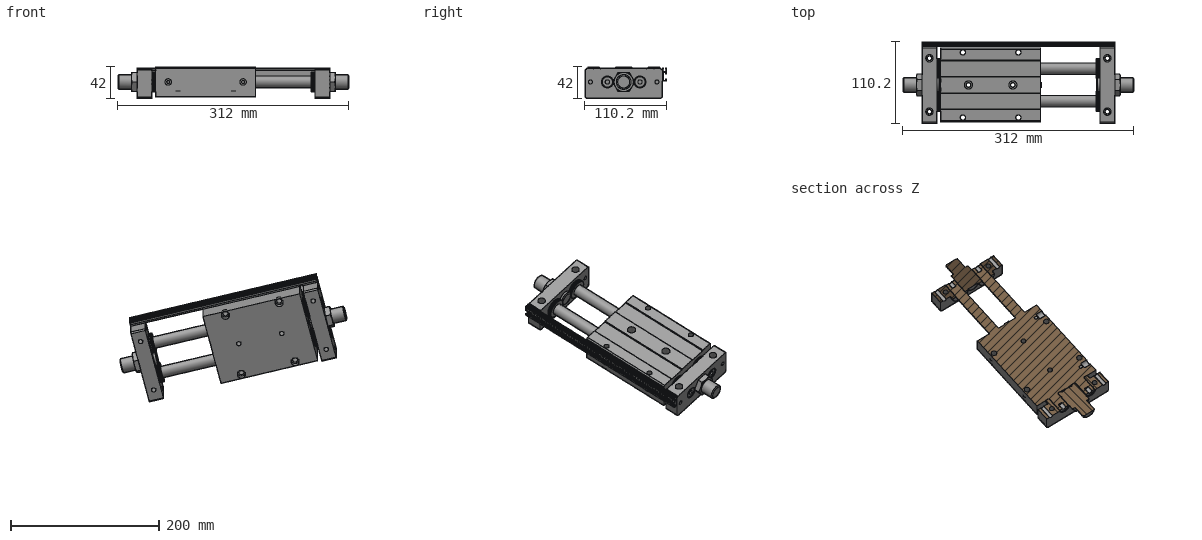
import cadquery as cq
import math

TOTAL_LENGTH = 312.0
AXIS_Z = 22.0
ROD_SPACING = 44.0
ROD_DIAMETER = 16.0
ROD_DISH_DEPTH = 1.0
ROD_DISH_FLOOR_DIAMETER = 14.0
EDGE_CHAMFER = 2.0

PLATE_SPAN = 260.2
PLATE_THICKNESS = 20.0
PLATE_WIDTH = 104.2
PLATE_HEIGHT = 40.2
PLATE_HOLE_SPACING = 72.0
PLATE_HOLE_DIAMETER = 6.0
PLATE_BORE_DIAMETER = 10.0
PLATE_BORE_DEPTH = 15.0
SIDE_HOLE_SPACING = 90.0
SIDE_HOLE_DIAMETER = 5.3

BUMPER_DIAMETER = 27.0
BUMPER_RING_THICKNESSES = (2.8, 2.5)
BUMPER_CHAMFER = 0.5
BUMPER_LENGTH = sum(BUMPER_RING_THICKNESSES)

BOLT_DIAMETER = 20.0
BOLT_CHAMFER_LENGTH = 1.2
BOLT_CHAMFER_INSET = 2.0
NUT_SIDES = 6
NUT_ACROSS_FLATS = 26.0
NUT_THICKNESS = 7.5
NUT_ACROSS_CORNERS = NUT_ACROSS_FLATS / math.cos(math.pi / NUT_SIDES)
NUT_CHAMFER_LENGTH = 1.0
NUT_CHAMFER_INSET = (NUT_ACROSS_CORNERS - NUT_ACROSS_FLATS) / 2
STUD_DIAMETER = 7.0
STUD_LENGTH = 1.0
BOLT_TIP_LENGTH = BUMPER_LENGTH - STUD_LENGTH

HOUSING_LENGTH = 134.8
HOUSING_WIDTH = 99.8
HOUSING_BOTTOM = 2.0
HOUSING_TOP = 42.0
CHANNEL_DEPTH = 1.0
CHANNEL_MOUTH_WIDTH = 22.8
CHANNEL_FLOOR_WIDTH = CHANNEL_MOUTH_WIDTH - 2 * CHANNEL_DEPTH
CHANNEL_SPACING = 44.0
CORNER_HOLE_DIAMETER = 7.0
CORNER_BORE_DIAMETER = 11.0
CORNER_BORE_DEPTH = 7.8
CORNER_HOLE_SPACING_X = 75.0
CORNER_HOLE_SPACING_Y = 88.0
MIDDLE_HOLE_SPACING = 60.0
MIDDLE_HOLE_DIAMETER = 6.0
MIDDLE_BORE_DIAMETER = 11.0
MIDDLE_BORE_DEPTH = 15.0
PORT_SPACING = 101.0
PORT_DIAMETER = 8.7
PORT_DEPTH = 10.0
PORT_PASSAGE_DIAMETER = 4.0
PORT_PASSAGE_DEPTH = 15.0
ROD_SOCKET_DIAMETER = 6.0
ROD_SOCKET_DEPTH = 10.0

RAIL_DEPTH = 6.0
RAIL_HEIGHT = 17.8
RAIL_TOP = HOUSING_TOP - CHANNEL_DEPTH
RAIL_WEB = 2.0
RAIL_WALL = 1.0
RAIL_BACK_WALL = 0.5
LIP_WIDTH = 1.5
LOWER_LIP_HEIGHT = 2.8
GROOVE_LIP_HEIGHT = 1.2
GROOVE_WALL_DEPTH = 3.7
GROOVE_DEPTH = 5.5
SLOT_CEILING = 6.5
UPPER_LIP_HEIGHT = 2.0

PLATE_OUTER_X = PLATE_SPAN / 2
PLATE_INNER_X = PLATE_OUTER_X - PLATE_THICKNESS
HOUSING_LEFT = BUMPER_LENGTH - PLATE_INNER_X
HOUSING_MIDDLE = HOUSING_LEFT + HOUSING_LENGTH / 2
ROD_OFFSETS = (-ROD_SPACING / 2, ROD_SPACING / 2)


def cylinder_x(diameter, x_start, x_end, y=0.0):
    """Cylinder along X at the rod height."""
    return (
        cq.Workplane("YZ", origin=(x_start, y, AXIS_Z))
        .circle(diameter / 2)
        .extrude(x_end - x_start)
    )


def bolt_and_nut():
    """Stop bolt with its lock nut, for the +X plate."""
    bolt = cylinder_x(BOLT_DIAMETER, PLATE_INNER_X - BOLT_TIP_LENGTH, TOTAL_LENGTH / 2)
    bolt = bolt.faces("<X or >X").chamfer(BOLT_CHAMFER_LENGTH, BOLT_CHAMFER_INSET)
    nut_end = PLATE_OUTER_X + NUT_THICKNESS
    nut = (
        cq.Workplane("YZ", origin=(PLATE_OUTER_X, 0, AXIS_Z))
        .polygon(NUT_SIDES, NUT_ACROSS_FLATS, circumscribed=True)
        .extrude(NUT_THICKNESS)
        .rotate((0, 0, AXIS_Z), (1, 0, AXIS_Z), 180 / NUT_SIDES)
    )
    rounding = cylinder_x(NUT_ACROSS_CORNERS, PLATE_OUTER_X, nut_end)
    rounding = rounding.faces(">X").chamfer(NUT_CHAMFER_LENGTH, NUT_CHAMFER_INSET)
    return bolt.union(nut.intersect(rounding))


def bumper(y):
    """Two chamfered rings on the inner face of the +X plate."""
    rings = None
    x_end = PLATE_INNER_X
    for thickness in BUMPER_RING_THICKNESSES:
        ring = cylinder_x(BUMPER_DIAMETER, x_end - thickness, x_end, y)
        ring = ring.faces("<X or >X").chamfer(BUMPER_CHAMFER)
        rings = ring if rings is None else rings.union(ring)
        x_end -= thickness
    return rings


def make_end_plate():
    """End plate for the +X end, with its stop bolt, nut and bumpers."""
    middle_x = PLATE_OUTER_X - PLATE_THICKNESS / 2
    plate = (
        cq.Workplane("XY", origin=(middle_x, 0, 0))
        .box(PLATE_THICKNESS, PLATE_WIDTH, PLATE_HEIGHT, centered=(True, True, False))
        .edges("|X")
        .chamfer(EDGE_CHAMFER)
    )
    plate = (
        plate.faces(">Z")
        .workplane(origin=(middle_x, 0, PLATE_HEIGHT))
        .rarray(3, PLATE_HOLE_SPACING, 1, 2)
        .cboreHole(PLATE_HOLE_DIAMETER, PLATE_BORE_DIAMETER, PLATE_BORE_DEPTH)
    )
    for y in (-SIDE_HOLE_SPACING / 2, SIDE_HOLE_SPACING / 2):
        plate = plate.cut(cylinder_x(SIDE_HOLE_DIAMETER, PLATE_INNER_X, PLATE_OUTER_X, y))
    for y in ROD_OFFSETS:
        plate = plate.union(bumper(y))
        plate = plate.cut(cylinder_x(ROD_DIAMETER, PLATE_INNER_X - BUMPER_LENGTH, PLATE_OUTER_X, y))
    return plate.union(bolt_and_nut())


def housing_block():
    """Block with chamfered top edges and two shallow sloped-wall channels along the top."""
    block = (
        cq.Workplane("XY", origin=(HOUSING_MIDDLE, 0, HOUSING_BOTTOM))
        .box(HOUSING_LENGTH, HOUSING_WIDTH, HOUSING_TOP - HOUSING_BOTTOM, centered=(True, True, False))
        .edges("|X and >Z")
        .chamfer(EDGE_CHAMFER)
    )
    for y in (-CHANNEL_SPACING / 2, CHANNEL_SPACING / 2):
        channel = (
            cq.Workplane("YZ", origin=(HOUSING_LEFT, y, HOUSING_TOP))
            .moveTo(-CHANNEL_MOUTH_WIDTH / 2, 0)
            .lineTo(-CHANNEL_FLOOR_WIDTH / 2, -CHANNEL_DEPTH)
            .lineTo(CHANNEL_FLOOR_WIDTH / 2, -CHANNEL_DEPTH)
            .lineTo(CHANNEL_MOUTH_WIDTH / 2, 0)
            .close()
            .extrude(HOUSING_LENGTH)
        )
        block = block.cut(channel)
    return block


def add_vertical_holes(block):
    """Corner holes counterbored from below and middle holes counterbored from above."""
    block = (
        block.faces("<Z")
        .workplane(origin=(HOUSING_MIDDLE, 0, HOUSING_BOTTOM))
        .rarray(CORNER_HOLE_SPACING_X, CORNER_HOLE_SPACING_Y, 2, 2)
        .cboreHole(CORNER_HOLE_DIAMETER, CORNER_BORE_DIAMETER, CORNER_BORE_DEPTH)
    )
    return (
        block.faces(">Z")
        .workplane(origin=(HOUSING_MIDDLE, 0, HOUSING_TOP))
        .rarray(MIDDLE_HOLE_SPACING, 3, 2, 1)
        .cboreHole(MIDDLE_HOLE_DIAMETER, MIDDLE_BORE_DIAMETER, MIDDLE_BORE_DEPTH)
    )


def add_ports(block):
    """Stepped ports in the -Y side."""
    for diameter, depth in ((PORT_DIAMETER, PORT_DEPTH), (PORT_PASSAGE_DIAMETER, PORT_PASSAGE_DEPTH)):
        ports = (
            cq.Workplane("XZ", origin=(HOUSING_MIDDLE, -HOUSING_WIDTH / 2, AXIS_Z))
            .rarray(PORT_SPACING, 3, 2, 1)
            .circle(diameter / 2)
            .extrude(-depth)
        )
        block = block.cut(ports)
    return block


def make_rod(y):
    """Guide rod with a dished face and an axial socket in each end."""
    rod = cylinder_x(ROD_DIAMETER, -PLATE_OUTER_X, PLATE_OUTER_X, y)
    dish = (
        cq.Workplane("YZ", origin=(PLATE_OUTER_X - ROD_DISH_DEPTH, y, AXIS_Z))
        .circle(ROD_DISH_FLOOR_DIAMETER / 2)
        .workplane(offset=ROD_DISH_DEPTH)
        .circle(ROD_DIAMETER / 2)
        .loft()
    )
    socket = cylinder_x(ROD_SOCKET_DIAMETER, PLATE_OUTER_X - ROD_SOCKET_DEPTH, PLATE_OUTER_X, y)
    end_cut = dish.union(socket)
    return rod.cut(end_cut).cut(end_cut.mirror("YZ"))


def make_housing():
    """Housing with its guide rods and the stop studs on both ends."""
    housing = add_ports(add_vertical_holes(housing_block()))
    right_end = HOUSING_LEFT + HOUSING_LENGTH
    for x_start in (HOUSING_LEFT - STUD_LENGTH, right_end):
        housing = housing.union(cylinder_x(STUD_DIAMETER, x_start, x_start + STUD_LENGTH))
    for y in ROD_OFFSETS:
        housing = housing.union(make_rod(y))
    return housing


def make_switch_rail():
    """Extruded rail with a lipped groove in the top and a lipped slot in the +Y side."""
    back = PLATE_WIDTH / 2
    front = back + RAIL_DEPTH
    web = back + RAIL_WEB
    middle = back + RAIL_DEPTH / 2
    bottom = RAIL_TOP - RAIL_HEIGHT
    ceiling = RAIL_TOP - SLOT_CEILING
    outline = [
        (back, bottom),
        (front, bottom),
        (front, bottom + LOWER_LIP_HEIGHT),
        (front - LIP_WIDTH, bottom + LOWER_LIP_HEIGHT),
        (front - LIP_WIDTH, bottom + RAIL_WALL),
        (web, bottom + RAIL_WALL),
        (web, ceiling),
        (front - LIP_WIDTH, ceiling),
        (front - LIP_WIDTH, ceiling - UPPER_LIP_HEIGHT),
        (front, ceiling - UPPER_LIP_HEIGHT),
        (front, RAIL_TOP),
        (front - LIP_WIDTH, RAIL_TOP),
        (front - LIP_WIDTH, RAIL_TOP - GROOVE_LIP_HEIGHT),
        (front - RAIL_WALL, RAIL_TOP - GROOVE_LIP_HEIGHT),
        (front - RAIL_WALL, RAIL_TOP - GROOVE_WALL_DEPTH),
        (middle, RAIL_TOP - GROOVE_DEPTH),
        (back + RAIL_BACK_WALL, RAIL_TOP - GROOVE_WALL_DEPTH),
        (back + RAIL_BACK_WALL, RAIL_TOP - GROOVE_LIP_HEIGHT),
        (back + LIP_WIDTH, RAIL_TOP - GROOVE_LIP_HEIGHT),
        (back + LIP_WIDTH, RAIL_TOP),
        (back, RAIL_TOP),
    ]
    return (
        cq.Workplane("YZ", origin=(-PLATE_OUTER_X, 0, 0))
        .polyline(outline)
        .close()
        .extrude(PLATE_SPAN)
    )


housing = make_housing()
switch_rail = make_switch_rail()
end_plates = [make_end_plate().rotate((0, 0, 0), (0, 0, 1), angle) for angle in (0, 180)]

result = cq.Compound.makeCompound(
    [housing.val(), switch_rail.val(), *[plate.val() for plate in end_plates]]
)